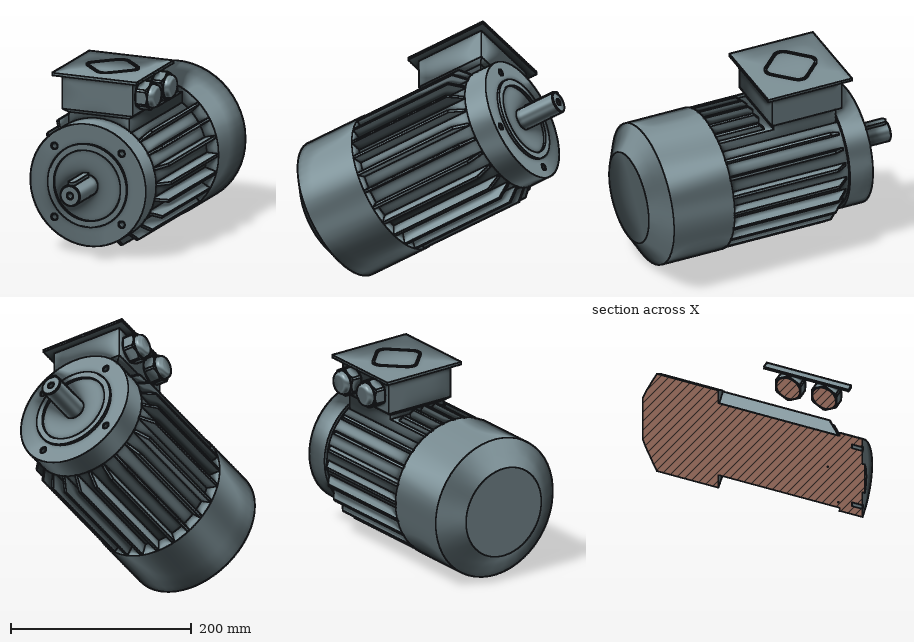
import cadquery as cq
import math


flange_diameter = 140.0
flange_thickness = 28.0
body_diameter = 133.0
cowl_diameter = 162.0
cowl_end_diameter = 104.0
cowl_front = 174.2
cowl_bend = 248.2
motor_back = 265.5

spigot_diameter = 95.0
spigot_recess_diameter = 81.0
spigot_height = 2.8
bolt_circle_diameter = 115.0
bolt_hole_diameter = 6.5
bolt_hole_depth = 12.5
bolt_hole_count = 4

hole_countersink = 0.8

shaft_diameter = 24.0
overall_length = 315.0
shaft_tip = motor_back - overall_length
shaft_chamfer = 1.0
centre_hole_diameter = 6.5
centre_hole_depth = 15.8
centre_hole_point = 2.0
key_width = 8.0
key_length = 44.7
key_end_gap = 1.5
key_top = 15.0

fin_diameter = 160.5
fin_start = 31.2
fin_thickness = 3.0
fin_pitch_angle = 15
first_fin_angle = 135
last_fin_angle = 405
fin_bevel_length = 14.5
fin_bevel_height = 13.2
top_fin_spacing = 15.0
top_fin_count = 5
top_fin_start = 115.0
top_fin_bevel = 5.7

box_centre_y = 68.0
box_size = 85.0
box_bottom = 77.0
neck_width = 73.5
neck_length = 75.3
neck_top = 72.5
saddle_top = 67.5
lid_size = 102.0
lid_bottom = 116.0
lid_top = 119.0

frame_height = 1.0
frame_side = 50.5
frame_corner_radius = 11.3
frame_width = 2.2

gland_spacing = 43.5
gland_z = 97.3
gland_collar_diameter = 29.0
gland_nut_start = 43.5
gland_nut_flats = 30.0
gland_nut_diameter = 33.0
gland_nut_end = 57.0
gland_nut_bevel = 1.5
gland_cap_diameter = 26.0
gland_cap_end = 64.3
gland_cap_fillet = 5.0


def cylinder_y(diameter, start, end):
    """Cylinder on the motor axis between two Y positions."""
    return cq.Workplane("XZ", origin=(0, start, 0)).circle(diameter / 2).extrude(start - end)


def block(width, length, bottom, top):
    """Upright rectangular block centred on the terminal box."""
    plane = cq.Workplane("XY", origin=(0, box_centre_y, bottom))
    return plane.rect(width, length).extrude(top - bottom)


def make_housing():
    body = cylinder_y(body_diameter, 0, cowl_front)
    flange = cylinder_y(flange_diameter, 0, flange_thickness)
    cowl = (
        cq.Workplane("XY")
        .moveTo(0, cowl_front)
        .lineTo(cowl_diameter / 2, cowl_front)
        .lineTo(cowl_diameter / 2, cowl_bend)
        .lineTo(cowl_end_diameter / 2, motor_back)
        .lineTo(0, motor_back)
        .close()
        .revolve(360, (0, 0, 0), (0, 1, 0))
    )
    spigot = cylinder_y(spigot_diameter, -spigot_height, 0)
    spigot = spigot.cut(cylinder_y(spigot_recess_diameter, -spigot_height, 0))
    return body.union(flange).union(cowl).union(spigot)


def fin_envelope(start, bevel_length, bevel_height):
    """Round envelope that limits the fins, bevelled at its front end."""
    radius = fin_diameter / 2
    return (
        cq.Workplane("XY")
        .moveTo(0, start)
        .lineTo(radius - bevel_height, start)
        .lineTo(radius, start + bevel_length)
        .lineTo(radius, cowl_front)
        .lineTo(0, cowl_front)
        .close()
        .revolve(360, (0, 0, 0), (0, 1, 0))
    )


def make_radial_fins():
    fin_length = cowl_front - fin_start
    fin_height = fin_diameter / 2
    fins = cq.Workplane("XY")
    for angle in range(first_fin_angle, last_fin_angle + 1, fin_pitch_angle):
        fin = (
            cq.Workplane("XY")
            .box(fin_height, fin_length, fin_thickness, centered=(False, False, True))
            .translate((0, fin_start, 0))
            .rotate((0, 0, 0), (0, 1, 0), -angle)
        )
        fins = fins.union(fin)
    return fins.intersect(fin_envelope(fin_start, fin_bevel_length, fin_bevel_height))


def make_top_fins():
    fin_length = cowl_front - top_fin_start
    fins = (
        cq.Workplane("XY", origin=(0, top_fin_start + fin_length / 2, 0))
        .rarray(top_fin_spacing, 3, top_fin_count, 1)
        .rect(fin_thickness, fin_length)
        .extrude(fin_diameter / 2)
    )
    return fins.intersect(fin_envelope(top_fin_start, top_fin_bevel, top_fin_bevel))


def make_terminal_box():
    neck = block(neck_width, neck_length, 0, neck_top)
    saddle_start = box_centre_y - neck_length / 2
    saddle = (
        cq.Workplane("XY")
        .box(neck_width, cowl_front - saddle_start, saddle_top, centered=(True, False, False))
        .translate((0, saddle_start, 0))
    )
    flare = (
        cq.Workplane("XY", origin=(0, box_centre_y, neck_top))
        .rect(neck_width, neck_length)
        .workplane(offset=box_bottom - neck_top)
        .rect(box_size, box_size)
        .loft(ruled=True)
    )
    box = block(box_size, box_size, box_bottom, lid_bottom)
    lid = block(lid_size, lid_size, lid_bottom, lid_top)
    return neck.union(saddle).union(flare).union(box).union(lid)


def make_lid_frame():
    inner_side = frame_side - 2 * frame_width
    outer = block(frame_side, frame_side, lid_top, lid_top + frame_height)
    outer = outer.edges("|Z").fillet(frame_corner_radius)
    inner = block(inner_side, inner_side, lid_top, lid_top + frame_height)
    inner = inner.edges("|Z").fillet(frame_corner_radius - frame_width)
    frame = outer.cut(inner)
    return frame.rotate((0, box_centre_y, 0), (0, box_centre_y, 1), 45)


def make_gland(y):
    wall = cq.Workplane("YZ", origin=(box_size / 2, y, gland_z))
    collar = wall.circle(gland_collar_diameter / 2).extrude(gland_nut_start - box_size / 2)
    nut_plane = cq.Workplane("YZ", origin=(gland_nut_start, y, gland_z))
    nut_length = gland_nut_end - gland_nut_start
    corner_diameter = gland_nut_flats / math.cos(math.pi / 6)
    hexagon = nut_plane.transformed(rotate=(0, 0, 90)).polygon(6, corner_diameter).extrude(nut_length)
    rounding = nut_plane.circle(gland_nut_diameter / 2).extrude(nut_length)
    rounding = rounding.faces(">X").chamfer(gland_nut_bevel)
    cap = nut_plane.circle(gland_cap_diameter / 2).extrude(gland_cap_end - gland_nut_start)
    cap = cap.faces(">X").edges().fillet(gland_cap_fillet)
    return collar.union(hexagon.intersect(rounding)).union(cap)


def drilled_hole(diameter, depth, point_depth=0):
    """Cutter for a countersunk hole with an optional pointed bottom, drilled towards +Y from Y = 0."""
    radius = diameter / 2
    return (
        cq.Workplane("XY")
        .lineTo(radius + hole_countersink, 0)
        .lineTo(radius, hole_countersink)
        .lineTo(radius, depth)
        .lineTo(0, depth + point_depth)
        .close()
        .revolve(360, (0, 0, 0), (0, 1, 0))
    )


def make_shaft():
    shaft = cylinder_y(shaft_diameter, shaft_tip, 0).faces("<Y").chamfer(shaft_chamfer)
    key_centre = shaft_tip + key_end_gap + key_length / 2
    key = (
        cq.Workplane("XY", origin=(0, key_centre, 0))
        .slot2D(key_length, key_width, 90)
        .extrude(key_top)
    )
    centre_hole = drilled_hole(centre_hole_diameter, centre_hole_depth, centre_hole_point)
    centre_hole = centre_hole.translate((0, shaft_tip, 0))
    return shaft.union(key).cut(centre_hole)


def make_bolt_holes():
    holes = cq.Workplane("XY")
    hole = drilled_hole(bolt_hole_diameter, bolt_hole_depth)
    hole = hole.translate((bolt_circle_diameter / 2, 0, 0))
    for index in range(bolt_hole_count):
        angle = (index + 0.5) * 360 / bolt_hole_count
        holes = holes.union(hole.rotate((0, 0, 0), (0, 1, 0), angle))
    return holes


result = make_housing().union(make_radial_fins()).union(make_top_fins())
result = result.union(make_terminal_box()).union(make_lid_frame())
for side in (-1, 1):
    result = result.union(make_gland(box_centre_y + side * gland_spacing / 2))
result = result.union(make_shaft()).cut(make_bolt_holes())